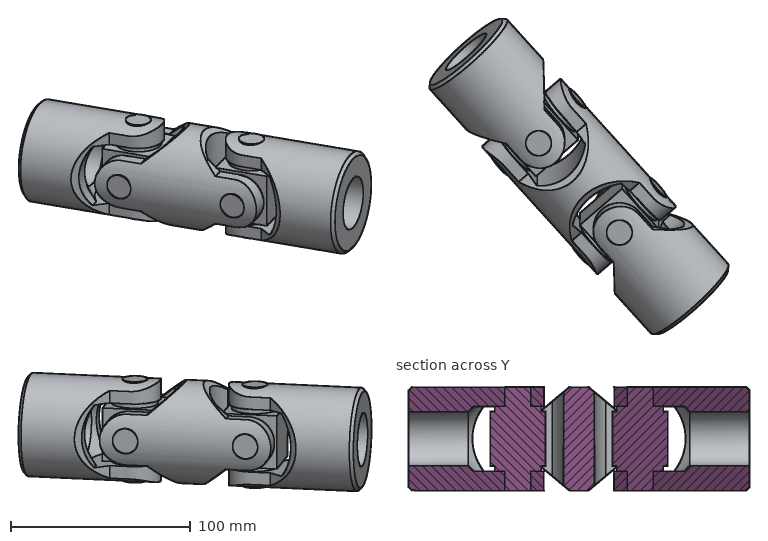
import cadquery as cq
import math

JOINT_LENGTH = 190.0
BODY_DIAMETER = 58.0
PIN_SPACING = 68.0

ARM_WIDTH = 29.0
SLOT_WIDTH = 36.0
SLOT_DEPTH = 25.3
SHOULDER_OFFSET = 11.5
SHOULDER_ANGLE = 50.0

BORE_DIAMETER = 30.0
END_CHAMFER = 1.9
COUNTERSINK_DEPTH = 2.3

BLOCK_LENGTH = 31.0
BLOCK_WIDTH = 31.4
BLOCK_HEIGHT = 30.4
COLLAR_DIAMETER = 26.0
PIN_DIAMETER = 14.2

body_radius = BODY_DIAMETER / 2
arm_radius = ARM_WIDTH / 2
centre_stem = PIN_SPACING / 2
end_stem = JOINT_LENGTH / 2 - centre_stem


def fork_stock(stem):
    """Round bar along X with rounded, narrowed arms, seen along the pin axis Z."""
    bar = cq.Workplane("YZ", origin=(-stem, 0, 0)).circle(body_radius).extrude(stem + arm_radius)
    shoulder_length = (body_radius - arm_radius) * math.tan(math.radians(SHOULDER_ANGLE))
    widest = -SHOULDER_OFFSET - shoulder_length
    outline = (
        cq.Workplane("XY", origin=(0, 0, -body_radius))
        .moveTo(-stem, -body_radius)
        .lineTo(widest, -body_radius)
        .lineTo(-SHOULDER_OFFSET, -arm_radius)
        .lineTo(0, -arm_radius)
        .threePointArc((arm_radius, 0), (0, arm_radius))
        .lineTo(-SHOULDER_OFFSET, arm_radius)
        .lineTo(widest, body_radius)
        .lineTo(-stem, body_radius)
        .close()
        .extrude(BODY_DIAMETER)
    )
    return bar.intersect(outline)


def fork_slot():
    """Gap between the arms, open towards +X, its floor hollowed to the body radius."""
    half_width = SLOT_WIDTH / 2
    floor_centre = body_radius - SLOT_DEPTH
    floor_edge = floor_centre - math.sqrt(body_radius**2 - half_width**2)
    return (
        cq.Workplane("XZ", origin=(0, body_radius, 0))
        .moveTo(arm_radius, -half_width)
        .lineTo(floor_edge, -half_width)
        .threePointArc((-SLOT_DEPTH, 0), (floor_edge, half_width))
        .lineTo(arm_radius, half_width)
        .close()
        .extrude(BODY_DIAMETER)
    )


def pin_rod():
    """Cylinder along Z through both arms, used for the pin holes and for the pins."""
    return cq.Workplane("XY", origin=(0, 0, -body_radius)).circle(PIN_DIAMETER / 2).extrude(BODY_DIAMETER)


def make_fork(stem):
    """Fork opening towards +X, with its pin axis on Z through the origin."""
    return fork_stock(stem).cut(fork_slot()).cut(pin_rod())


def bore_countersink():
    """45 degree flare of the bore mouth, kept between the arms of the fork."""
    bore_radius = BORE_DIAMETER / 2
    start = -SLOT_DEPTH - COUNTERSINK_DEPTH
    end = start + body_radius - bore_radius
    cone = (
        cq.Workplane("XY")
        .polyline([(start, 0), (start, bore_radius), (end, body_radius), (end, 0)])
        .close()
        .revolve(360, (0, 0, 0), (1, 0, 0))
    )
    gap = cq.Workplane("XY").box(2 * end_stem, BODY_DIAMETER, SLOT_WIDTH)
    return cone.intersect(gap)


def make_end_yoke():
    """Fork with a chamfered outer end and a bore that flares where it meets the slot."""
    fork = make_fork(end_stem).faces("<X").chamfer(END_CHAMFER)
    bore = cq.Workplane("YZ", origin=(-end_stem, 0, 0)).circle(BORE_DIAMETER / 2).extrude(end_stem)
    return fork.cut(bore).cut(bore_countersink())


def make_centre_yoke():
    """Two forks back to back about the origin, with their pin axes on Y."""
    right_half = make_fork(centre_stem).rotate((0, 0, 0), (1, 0, 0), 90).translate((centre_stem, 0, 0))
    left_half = right_half.mirror("YZ")
    return right_half.union(left_half)


def make_cross():
    """Block with a collar on each of four faces and a pin through on Y and on Z."""
    collars = (
        cq.Workplane("XY", origin=(0, 0, -SLOT_WIDTH / 2)).circle(COLLAR_DIAMETER / 2).extrude(SLOT_WIDTH)
    )
    trunnions = collars.union(pin_rod())
    block = cq.Workplane("XY").box(BLOCK_LENGTH, BLOCK_WIDTH, BLOCK_HEIGHT)
    return block.union(trunnions).union(trunnions.rotate((0, 0, 0), (1, 0, 0), 90))


centre_yoke = make_centre_yoke()

end_yokes = []
crosses = []
for side, turn in ((-1, 0), (1, 180)):
    place = (side * centre_stem, 0, 0)
    end_yokes.append(make_end_yoke().rotate((0, 0, 0), (0, 0, 1), turn).translate(place))
    crosses.append(make_cross().translate(place))

bodies = [centre_yoke, *end_yokes, *crosses]
result = cq.Compound.makeCompound([body.val() for body in bodies])